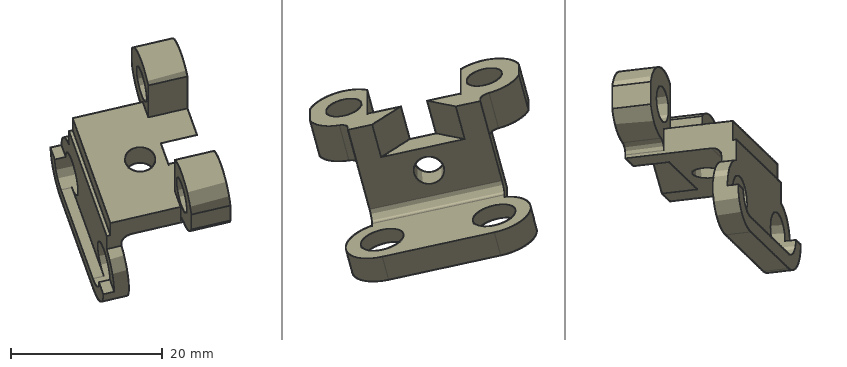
import cadquery as cq
import math

depth = 17.0
body_half_width = 8.98

plate_front = 1.5
plate_back = 3.55
plate_top = 12.6
plate_end_radius = 4.95
plate_hole_diameter = 5.8
plate_hole_offset = 7.6

deck_front = 2.0
deck_bottom = 11.78
deck_top = 15.26
deck_hole_diameter = 4.0
deck_hole_y = 8.67
slot_top_width = 3.5
slot_bottom_width = 11.33
slot_depth = 4.95
inner_corner_radius = 1.42

ear_thickness = 5.38
ear_offset = 9.52
ear_z = 18.52
ear_hole_diameter = 4.8
ear_inner_face = 6.32
ear_fillet_radius = 1.33
left_ear_radius = 4.95
right_ear_radius = 4.87
left_ear_outer_face = 14.22
right_ear_outer_face = 14.1


def box(x_min, x_max, y_min, y_max, z_min, z_max):
    """Axis-aligned block between the given limits."""
    block = cq.Workplane("XY").box(x_max - x_min, y_max - y_min, z_max - z_min, centered=False)
    return block.translate((x_min, y_min, z_min))


def face_plane(y):
    """Work plane parallel to XZ at y; extruding from it runs toward the back."""
    return cq.Workplane(cq.Plane(origin=(0, y, 0), xDir=(1, 0, 0), normal=(0, -1, 0)))


def y_cylinders(points, diameter, y_min, y_max):
    """Cylinders along Y, centred on the given (x, z) points."""
    return face_plane(y_min).pushPoints(points).circle(diameter / 2).extrude(y_min - y_max)


def long_slot(diameter, y_min, y_max):
    """Round-ended solid running between the two plate hole centres."""
    length = 2 * plate_hole_offset + diameter
    profile = face_plane(y_min).center(0, plate_end_radius).slot2D(length, diameter)
    return profile.extrude(y_min - y_max)


def make_plate():
    """Upright plate with a raised rim around its lower half."""
    plate = long_slot(2 * plate_end_radius, plate_front, plate_back)
    neck = box(-body_half_width, body_half_width, plate_front, plate_back, plate_end_radius, plate_top)
    rim_half_width = plate_hole_offset + plate_end_radius
    lower_half = box(-rim_half_width, rim_half_width, 0, plate_front, 0, plate_end_radius)
    rim = long_slot(2 * plate_end_radius, 0, plate_front).intersect(lower_half)
    rim = rim.cut(long_slot(plate_hole_diameter, 0, plate_front))
    return plate.union(neck).union(rim)


def make_deck():
    """Horizontal deck, with the fillet that joins it to the plate's back."""
    deck = box(-body_half_width, body_half_width, deck_front, depth, deck_bottom, deck_top)
    fillet_y = plate_back + inner_corner_radius
    fillet_z = deck_bottom - inner_corner_radius
    corner = box(-body_half_width, body_half_width, plate_back, fillet_y, fillet_z, deck_bottom)
    relief = cq.Workplane("YZ").center(fillet_y, fillet_z).circle(inner_corner_radius)
    corner = corner.cut(relief.extrude(body_half_width, both=True))
    return deck.union(corner)


def make_ear(side, radius, outer_face):
    """Ear with flat sides and a fillet to the deck; side is -1 for left, +1 for right."""
    ear_front = depth - ear_thickness
    ear = y_cylinders([(side * ear_offset, ear_z)], 2 * radius, ear_front, depth)

    arc_x = body_half_width + ear_fillet_radius
    reach = radius + ear_fillet_radius
    drop = math.sqrt(reach**2 - (arc_x - ear_offset) ** 2)
    arc_z = ear_z - drop
    tangent_angle = math.atan2(drop, ear_offset - arc_x)
    middle_angle = (tangent_angle + math.pi) / 2

    def arc_point(angle):
        x = arc_x + ear_fillet_radius * math.cos(angle)
        z = arc_z + ear_fillet_radius * math.sin(angle)
        return side * x, z

    web = (
        face_plane(ear_front)
        .moveTo(side * ear_offset, ear_z)
        .lineTo(*arc_point(tangent_angle))
        .threePointArc(arc_point(middle_angle), arc_point(math.pi))
        .lineTo(side * ear_inner_face, arc_z)
        .lineTo(side * ear_inner_face, ear_z)
        .close()
        .extrude(-ear_thickness)
    )
    x_min, x_max = sorted((side * ear_inner_face, side * outer_face))
    limits = box(x_min, x_max, ear_front, depth, deck_bottom, ear_z + radius)
    return ear.union(web).intersect(limits)


def make_slot():
    """Slot in the deck's back edge, flaring toward the deck's underside."""
    profile = [
        (-slot_bottom_width / 2, deck_bottom),
        (slot_bottom_width / 2, deck_bottom),
        (slot_top_width / 2, deck_top),
        (-slot_top_width / 2, deck_top),
    ]
    return face_plane(depth - slot_depth).polyline(profile).close().extrude(-slot_depth)


def cut_openings(body):
    """Plate, ear and deck holes, and the slot in the deck's back edge."""
    plate_points = [(side * plate_hole_offset, plate_end_radius) for side in (-1, 1)]
    ear_points = [(side * ear_offset, ear_z) for side in (-1, 1)]
    body = body.cut(y_cylinders(plate_points, plate_hole_diameter, 0, plate_back))
    body = body.cut(y_cylinders(ear_points, ear_hole_diameter, depth - ear_thickness, depth))
    deck_hole = cq.Workplane("XY").center(0, deck_hole_y).circle(deck_hole_diameter / 2).extrude(deck_top)
    return body.cut(deck_hole).cut(make_slot())


bracket = make_plate().union(make_deck())
bracket = bracket.union(make_ear(-1, left_ear_radius, left_ear_outer_face))
bracket = bracket.union(make_ear(1, right_ear_radius, right_ear_outer_face))
result = cut_openings(bracket)